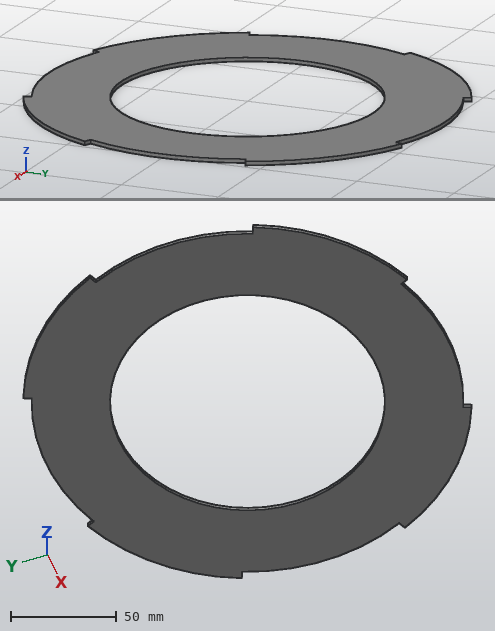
import cadquery as cq
import math

thickness = 2.0
bore_diameter = 130.0
body_diameter = 204.3
lobe_diameter = 212.1
lobe_count = 4
lobe_span = 44.0
first_lobe_angle = 45.0

bore_radius = bore_diameter / 2
body_radius = body_diameter / 2
lobe_radius = lobe_diameter / 2


def polar_point(radius, angle):
    """Point at the given radius and angle in degrees from +X."""
    return (radius * math.cos(math.radians(angle)), radius * math.sin(math.radians(angle)))


def make_lobe(centre_angle):
    """Ring sector with radial ends, from the bore out to the raised rim."""
    start_angle = centre_angle - lobe_span / 2
    end_angle = centre_angle + lobe_span / 2
    return (
        cq.Workplane("XY")
        .moveTo(*polar_point(bore_radius, start_angle))
        .lineTo(*polar_point(lobe_radius, start_angle))
        .threePointArc(polar_point(lobe_radius, centre_angle), polar_point(lobe_radius, end_angle))
        .lineTo(*polar_point(bore_radius, end_angle))
        .threePointArc(polar_point(bore_radius, centre_angle), polar_point(bore_radius, start_angle))
        .close()
        .extrude(thickness)
    )


result = cq.Workplane("XY").circle(body_radius).circle(bore_radius).extrude(thickness)
for index in range(lobe_count):
    lobe_angle = first_lobe_angle + index * 360 / lobe_count
    result = result.union(make_lobe(lobe_angle))
result = result.clean()